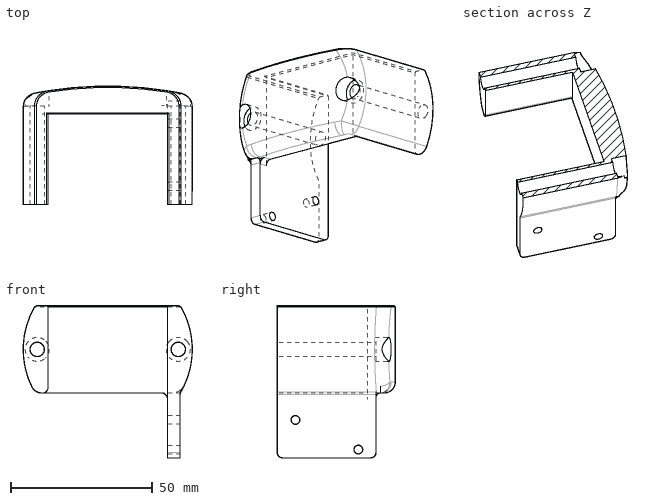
import cadquery as cq
import math

side_radius = 30.0
body_height = 31.0
body_depth = 42.0
back_radius = 135.0
corner_radius = 5.0
bottom_round = 4.0
top_chamfer = 0.5
mid_height = body_height / 2
flat_half_width = math.sqrt(side_radius**2 - mid_height**2)

channel_width = 42.3
channel_depth = 32.0
arm_inner_round = 2.0
channel_half = channel_width / 2

plate_outer_x = flat_half_width
plate_thickness = plate_outer_x - channel_half
plate_depth = 35.1
plate_drop = 23.0
plate_corner_radius = 2.0
waist_radius = 2.0
inner_blend_radius = 2.0
rear_blend_radius = 1.5
plate_hole_diameter = 3.0
plate_hole_places = [(6.5, -9.5), (28.8, -20.0)]

screw_spacing = 50.0
screw_diameter = 5.0
screw_head_diameter = 8.5
screw_head_seat_y = 35.0

margin = 0.1


def make_box(x_min, x_max, y_min, y_max, z_min, z_max):
    """Box given by its limits along the three axes."""
    box = cq.Workplane("XY").box(x_max - x_min, y_max - y_min, z_max - z_min, centered=False)
    return box.translate((x_min, y_min, z_min))


def make_shell():
    """Side cylinders along Y, closed by a shallow curved back with rounded corners."""
    barrel = (
        cq.Workplane("XZ")
        .moveTo(-flat_half_width, 0)
        .lineTo(flat_half_width, 0)
        .threePointArc((side_radius, mid_height), (flat_half_width, body_height))
        .lineTo(-flat_half_width, body_height)
        .threePointArc((-side_radius, mid_height), (-flat_half_width, 0))
        .close()
        .extrude(-body_depth)
    )
    back_center_y = body_depth - back_radius
    back_drum = cq.Workplane("XY").center(0, back_center_y).circle(back_radius).extrude(body_height)
    shell = barrel.intersect(back_drum)

    corner_zone = cq.selectors.BoxSelector(
        (-side_radius, channel_depth, margin),
        (side_radius, body_depth, body_height - margin),
    )
    return shell.edges(corner_zone).fillet(corner_radius)


def make_saddle(shell):
    """Envelope with a rounded lower rim, hollowed by the channel and chamfered on top."""
    saddle = shell.faces("<Z").edges("not <Y").fillet(bottom_round)
    saddle = saddle.cut(make_box(-channel_half, channel_half, 0, channel_depth, 0, body_height))
    left_arm_inner_edge = cq.selectors.BoxSelector(
        (-channel_half - margin, 0, -margin),
        (-channel_half + margin, channel_depth, margin),
    )
    saddle = saddle.edges(left_arm_inner_edge).fillet(arm_inner_round)
    return saddle.faces(">Z").edges("not <Y").chamfer(top_chamfer)


def make_plate():
    """Plate whose outer side flows into the barrel through a concave waist arc."""
    waist_x = plate_outer_x + waist_radius
    waist_drop = math.sqrt((side_radius + waist_radius) ** 2 - waist_x**2)
    waist_z = mid_height - waist_drop
    contact_ratio = side_radius / (side_radius + waist_radius)
    contact_x = waist_x * contact_ratio
    contact_z = mid_height - waist_drop * contact_ratio
    half_angle = math.atan2(waist_drop, waist_x) / 2
    waist_middle = (
        waist_x - waist_radius * math.cos(half_angle),
        waist_z + waist_radius * math.sin(half_angle),
    )
    plate = (
        cq.Workplane("XZ")
        .moveTo(channel_half, -plate_drop)
        .lineTo(plate_outer_x, -plate_drop)
        .lineTo(plate_outer_x, waist_z)
        .threePointArc(waist_middle, (contact_x, contact_z))
        .lineTo(channel_half, contact_z)
        .close()
        .extrude(-plate_depth)
    )
    return plate.faces("<Z").edges("|X").fillet(plate_corner_radius)


def make_plate_root(shell):
    """Part of the right arm above the plate, with its lower edge left sharp."""
    root_depth = plate_depth + rear_blend_radius
    return shell.intersect(make_box(channel_half, side_radius, 0, root_depth, 0, bottom_round))


def concave_web(plane, corner, outward, radius, length):
    """Prism filling the corner below z = 0 beside a wall, with a concave round face."""
    bulge = radius * (1 - math.sqrt(0.5))
    return (
        plane.moveTo(corner + outward * radius, 0)
        .threePointArc((corner + outward * bulge, -bulge), (corner, -radius))
        .lineTo(corner, 0)
        .close()
        .extrude(length)
    )


def make_blends():
    """Webs joining the plate to the underside: under the back wall and behind the plate."""
    inner_plane = cq.Workplane("XZ", origin=(0, channel_depth, 0))
    inner_length = channel_depth - plate_depth
    inner = concave_web(inner_plane, channel_half, -1, inner_blend_radius, inner_length)
    rear_plane = cq.Workplane("YZ", origin=(channel_half, 0, 0))
    rear = concave_web(rear_plane, plate_depth, 1, rear_blend_radius, plate_thickness)
    return inner, rear


def make_screw_hole(x):
    """Through hole along Y with a head recess sunk from the back."""
    shank = cq.Workplane("XZ").center(x, mid_height).circle(screw_diameter / 2).extrude(-body_depth)
    head = (
        cq.Workplane("XZ", origin=(0, screw_head_seat_y, 0))
        .center(x, mid_height)
        .circle(screw_head_diameter / 2)
        .extrude(screw_head_seat_y - body_depth)
    )
    return shank.union(head)


def make_plate_hole(y, z):
    """Hole through the plate along X."""
    face = cq.Workplane("YZ", origin=(channel_half, 0, 0)).center(y, z)
    return face.circle(plate_hole_diameter / 2).extrude(plate_thickness)


shell = make_shell()
result = make_saddle(shell).union(make_plate_root(shell)).union(make_plate())
for blend in make_blends():
    result = result.union(blend)
for side in (-1, 1):
    result = result.cut(make_screw_hole(side * screw_spacing / 2))
for hole_y, hole_z in plate_hole_places:
    result = result.cut(make_plate_hole(hole_y, hole_z))